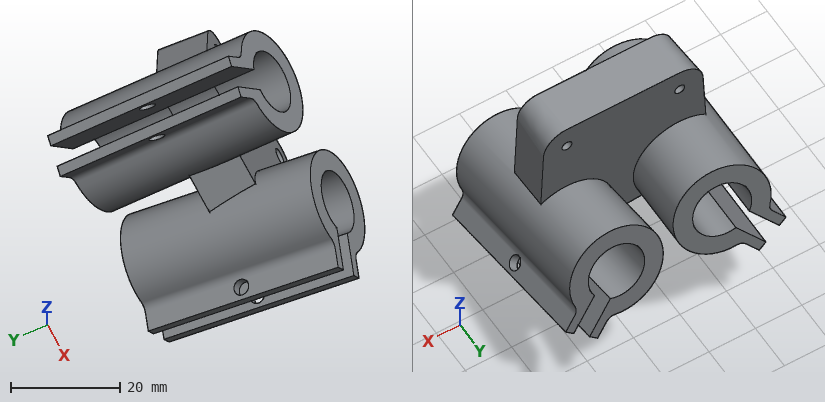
import cadquery as cq
import math

TUBE_LENGTH = 40.05
TUBE_RADIUS = 10.0
BORE_RADIUS = 6.0
SLOT_WIDTH = 4.0
EAR_THICKNESS = 2.0
EAR_REACH = 14.05
EAR_FILLET = 2.0
BOLT_RADIUS = 1.5
BOLT_REACH = 11.65

RIGHT_TUBE = {"center": (0, 0, 0), "pitch": 12.7, "yaw": 0, "ear_angle": -50.2}
LEFT_TUBE = {"center": (-24.65, -0.2, 2.4), "pitch": 12.2, "yaw": -5.1, "ear_angle": 180 + 49}
TUBES = [RIGHT_TUBE, LEFT_TUBE]

PLATE_FRONT_Y = -7.7
PLATE_THICKNESS = 10.0
DRAFT_ANGLE = 3.5
CORNER_RADIUS = 4.45
HOLE_LEFT_X = -24.4
HOLE_RIGHT_X = -0.1
HOLE_Z = 23.0
HOLE_FRONT_RADIUS = 1.65
SIDE_END_LEFT = (-29.85, 2.5)
SIDE_END_RIGHT = (5.25, 0.5)
BOTTOM_END_LEFT = (-26.0, -2.1)
BOTTOM_END_RIGHT = (1.5, -4.65)


def place(body, tube):
    """Move a body from its own axes, with the tube along Y, to the tube's place."""
    origin = (0, 0, 0)
    body = body.rotate(origin, (0, 1, 0), -tube["ear_angle"])
    body = body.rotate(origin, (1, 0, 0), tube["pitch"])
    body = body.rotate(origin, (0, 0, 1), tube["yaw"])
    return body.translate(tube["center"])


def cylinder_along_y(radius):
    return cq.Workplane("XZ").circle(radius).extrude(TUBE_LENGTH / 2, both=True)


def tube_opening():
    """Bore and the slot that opens it between the ears."""
    slot = cq.Workplane("XY").box(EAR_REACH, TUBE_LENGTH, SLOT_WIDTH).translate((EAR_REACH / 2, 0, 0))
    return cylinder_along_y(BORE_RADIUS).union(slot)


def ear_block():
    """Both ears as one block, with concave fillets running into the round of the tube."""
    half_width = SLOT_WIDTH / 2 + EAR_THICKNESS
    fillet_z = half_width + EAR_FILLET
    fillet_x = math.sqrt((TUBE_RADIUS + EAR_FILLET) ** 2 - fillet_z**2)
    touch_x = fillet_x * TUBE_RADIUS / (TUBE_RADIUS + EAR_FILLET)
    touch_z = fillet_z * TUBE_RADIUS / (TUBE_RADIUS + EAR_FILLET)
    middle_angle = (math.atan2(-fillet_z, -fillet_x) - math.pi / 2) / 2
    middle_x = fillet_x + EAR_FILLET * math.cos(middle_angle)
    middle_z = fillet_z + EAR_FILLET * math.sin(middle_angle)
    return (
        cq.Workplane("XZ")
        .moveTo(0, -touch_z)
        .lineTo(touch_x, -touch_z)
        .threePointArc((middle_x, -middle_z), (fillet_x, -half_width))
        .lineTo(EAR_REACH, -half_width)
        .lineTo(EAR_REACH, half_width)
        .lineTo(fillet_x, half_width)
        .threePointArc((middle_x, middle_z), (touch_x, touch_z))
        .lineTo(0, touch_z)
        .close()
        .extrude(TUBE_LENGTH / 2, both=True)
    )


def clamp_tube():
    bolt_hole = cq.Workplane("XY").center(BOLT_REACH, 0).circle(BOLT_RADIUS).extrude(TUBE_RADIUS, both=True)
    return cylinder_along_y(TUBE_RADIUS).union(ear_block()).cut(tube_opening()).cut(bolt_hole)


def corner_point(hole_x, angle):
    """Point on a top corner round, which is concentric with the screw hole."""
    return (hole_x + CORNER_RADIUS * math.cos(angle), HOLE_Z + CORNER_RADIUS * math.sin(angle))


def tangent_angle(hole_x, side_end, turn):
    """Angle on the corner round where the straight plate side from its lower end touches it."""
    dx = side_end[0] - hole_x
    dz = side_end[1] - HOLE_Z
    return math.atan2(dz, dx) + turn * math.acos(CORNER_RADIUS / math.hypot(dx, dz))


def mounting_plate():
    top = math.pi / 2
    right = tangent_angle(HOLE_RIGHT_X, SIDE_END_RIGHT, 1)
    left = tangent_angle(HOLE_LEFT_X, SIDE_END_LEFT, -1) % (2 * math.pi)
    outline = (
        cq.Workplane("XZ", origin=(0, PLATE_FRONT_Y, 0))
        .moveTo(*SIDE_END_LEFT)
        .lineTo(*BOTTOM_END_LEFT)
        .lineTo(*BOTTOM_END_RIGHT)
        .lineTo(*SIDE_END_RIGHT)
        .lineTo(*corner_point(HOLE_RIGHT_X, right))
        .threePointArc(corner_point(HOLE_RIGHT_X, (right + top) / 2), corner_point(HOLE_RIGHT_X, top))
        .lineTo(*corner_point(HOLE_LEFT_X, top))
        .threePointArc(corner_point(HOLE_LEFT_X, (left + top) / 2), corner_point(HOLE_LEFT_X, left))
        .close()
    )
    plate = outline.extrude(-PLATE_THICKNESS, taper=-DRAFT_ANGLE)
    screw_holes = (
        cq.Workplane("XZ", origin=(0, PLATE_FRONT_Y, 0))
        .pushPoints([(HOLE_LEFT_X, HOLE_Z), (HOLE_RIGHT_X, HOLE_Z)])
        .circle(HOLE_FRONT_RADIUS)
        .extrude(-PLATE_THICKNESS, taper=DRAFT_ANGLE)
    )
    return plate.cut(screw_holes)


plate = mounting_plate()
for tube in TUBES:
    plate = plate.cut(place(tube_opening(), tube))

clamp_tubes = [place(clamp_tube(), tube).cut(plate) for tube in TUBES]

bodies = [plate, *clamp_tubes]
result = cq.Compound.makeCompound([body.solids().val() for body in bodies])